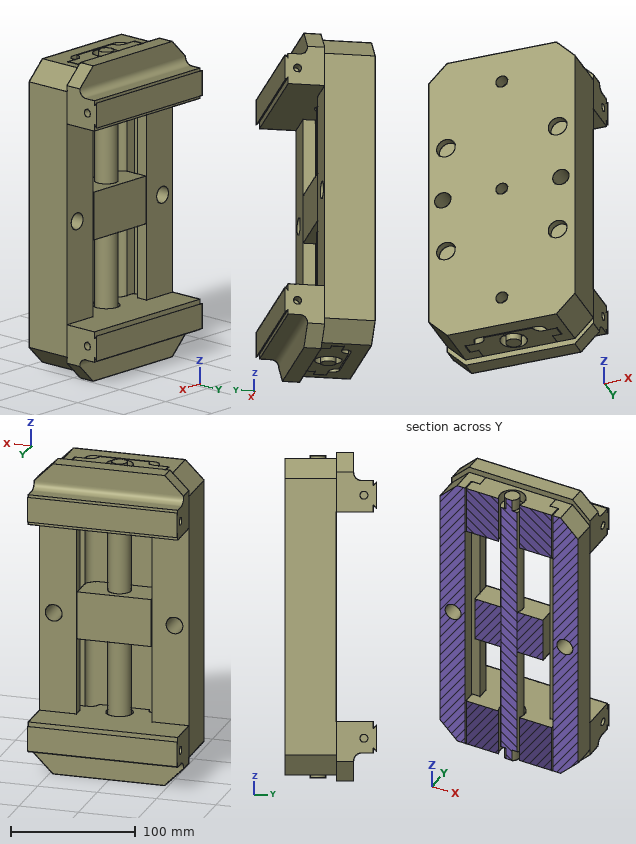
import cadquery as cq


width = 125.73
base_length = 254.0
base_depth = 41.275
corner_chamfer = 15.875

slot_mouth_half_width = 31.75
slot_wing_half_width = 39.7
slot_floor_half_width = 31.0
slot_wing_top = 10.0
slot_wing_bottom = 20.4
slot_floor = 28.6
slot_floor_radius = 6.5

through_hole_diameter = 14.0
through_hole_x = 50.8
blind_hole_diameter = 16.0
blind_hole_depth = 6.35
blind_hole_offset = 48.0
access_hole_diameter = 10.0
upper_access_hole_z = 100.0
lower_access_hole_z = -101.6

overall_length = 264.01
overall_depth = 73.64
jaw_length = 48.0
jaw_grip_length = 25.4
jaw_foot_height = 14.0
jaw_shoulder_height = 29.8
jaw_tip_height = overall_depth - base_depth
jaw_fillet = 6.35
dovetail_centre_drop = 34.5
dovetail_tip_length = 21.0
dovetail_neck_length = 16.0
jaw_pin_hole_diameter = 6.35
jaw_pin_hole_depth = 10.0
jaw_pin_hole_height = 22.2

slider_wing_half_width = 39.0
slider_floor = 27.4
slider_floor_half_width = 21.1
slider_corner_radius = slider_floor - slot_wing_bottom

screw_depth = 14.7
screw_diameter = 19.05
screw_bore_diameter = 22.0
stub_diameter = 12.7
screw_length = 258.7
screw_shoulder_recess = 8.0

block_length = 40.0
block_chamfer = slot_floor_radius


def cylinder_along_z(diameter, length):
    """Cylinder on the screw's axis, centred on Z = 0."""
    return (
        cq.Workplane("XY")
        .center(0, -screw_depth)
        .circle(diameter / 2)
        .extrude(length / 2, both=True)
    )


def base_holes(points, diameter, depth):
    """Round holes entering the base from its underside."""
    return (
        cq.Workplane("XZ", origin=(0, -base_depth, 0))
        .pushPoints(points)
        .circle(diameter / 2)
        .extrude(-depth)
    )


def t_bar(wing_half_width, length):
    """T-shaped bar, from the base's top face to the underside of the wings."""
    wing_height = slot_wing_bottom - slot_wing_top
    mouth = (
        cq.Workplane("XY")
        .center(0, -slot_wing_bottom / 2)
        .rect(2 * slot_mouth_half_width, slot_wing_bottom)
        .extrude(length)
    )
    wings = (
        cq.Workplane("XY")
        .center(0, -(slot_wing_top + slot_wing_bottom) / 2)
        .rect(2 * wing_half_width, wing_height)
        .extrude(length)
    )
    return mouth.union(wings)


def make_base():
    base = (
        cq.Workplane("XZ")
        .rect(width, base_length)
        .extrude(base_depth)
        .edges("|Y")
        .chamfer(corner_chamfer)
    )
    channel = (
        cq.Workplane("XY")
        .center(0, -slot_floor / 2)
        .rect(2 * slot_floor_half_width, slot_floor)
        .extrude(base_length)
        .edges("|Z and <Y")
        .fillet(slot_floor_radius)
    )
    slot = t_bar(slot_wing_half_width, base_length).union(channel)
    base = base.cut(slot.translate((0, 0, -base_length / 2)))

    through_points = [(side * through_hole_x, 0) for side in (-1, 1)]
    blind_points = [
        (x_side * blind_hole_offset, z_side * blind_hole_offset)
        for x_side in (-1, 1)
        for z_side in (-1, 1)
    ]
    access_points = [(0, z) for z in (lower_access_hole_z, 0, upper_access_hole_z)]
    base = base.cut(base_holes(through_points, through_hole_diameter, base_depth))
    base = base.cut(base_holes(blind_points, blind_hole_diameter, blind_hole_depth))
    return base.cut(base_holes(access_points, access_hole_diameter, base_depth - slot_floor))


def make_slider(length):
    """T-shaped slider from Z = 0, with concave lower corners."""
    keel_half_width = slider_floor_half_width + slider_corner_radius
    keel = (
        cq.Workplane("XY")
        .center(0, -slider_floor / 2)
        .rect(2 * keel_half_width, slider_floor)
        .extrude(length)
    )
    keel_flutes = (
        cq.Workplane("XY")
        .pushPoints([(side * keel_half_width, -slider_floor) for side in (-1, 1)])
        .circle(slider_corner_radius)
        .extrude(length)
    )
    return t_bar(slider_wing_half_width, length).union(keel.cut(keel_flutes))


def make_jaw():
    """Jaw and its slider at the +Z end."""
    outer_end = overall_length / 2
    inner_end = outer_end - jaw_length
    grip_end = inner_end + jaw_grip_length
    dovetail_centre = outer_end - dovetail_centre_drop
    tip_half = dovetail_tip_length / 2
    neck_half = dovetail_neck_length / 2
    arc_inset = jaw_fillet * (1 - 0.5**0.5)

    body = (
        cq.Workplane("YZ")
        .moveTo(0, inner_end)
        .lineTo(jaw_shoulder_height, inner_end)
        .lineTo(jaw_shoulder_height, dovetail_centre - neck_half)
        .lineTo(jaw_tip_height, dovetail_centre - tip_half)
        .lineTo(jaw_tip_height, dovetail_centre + tip_half)
        .lineTo(jaw_shoulder_height, dovetail_centre + neck_half)
        .lineTo(jaw_shoulder_height, grip_end)
        .lineTo(jaw_foot_height + jaw_fillet, grip_end)
        .threePointArc(
            (jaw_foot_height + arc_inset, grip_end + arc_inset),
            (jaw_foot_height, grip_end + jaw_fillet),
        )
        .lineTo(jaw_foot_height, outer_end)
        .lineTo(0, outer_end)
        .close()
        .extrude(width / 2, both=True)
        .edges("|Y and >Z")
        .chamfer(corner_chamfer)
    )
    pin_hole = (
        cq.Workplane("YZ", origin=(-width / 2, 0, 0))
        .center(jaw_pin_hole_height, dovetail_centre)
        .circle(jaw_pin_hole_diameter / 2)
        .extrude(jaw_pin_hole_depth)
    )
    body = body.cut(pin_hole).cut(pin_hole.mirror("YZ"))

    slider = make_slider(base_length / 2 - inner_end).translate((0, 0, inner_end))
    screw_bore = cylinder_along_z(screw_bore_diameter, base_length)
    return body.union(slider.cut(screw_bore))


def make_screw():
    shank_length = base_length - 2 * screw_shoulder_recess
    shank = cylinder_along_z(screw_diameter, shank_length)
    return shank.union(cylinder_along_z(stub_diameter, screw_length))


def make_block():
    """Middle block that stands on the slot's floor and holds the screw."""
    return (
        cq.Workplane("XY")
        .center(0, -slot_floor / 2)
        .rect(2 * slot_floor_half_width, slot_floor)
        .extrude(block_length / 2, both=True)
        .edges("|Z and <Y")
        .chamfer(block_chamfer)
        .cut(cylinder_along_z(screw_diameter, block_length))
    )


base = make_base()
upper_jaw = make_jaw()
jaws = [upper_jaw, upper_jaw.mirror("XY")]
screw = make_screw()
block = make_block()

result = cq.Compound.makeCompound(
    [base.val(), *[jaw.val() for jaw in jaws], screw.val(), block.val()]
)